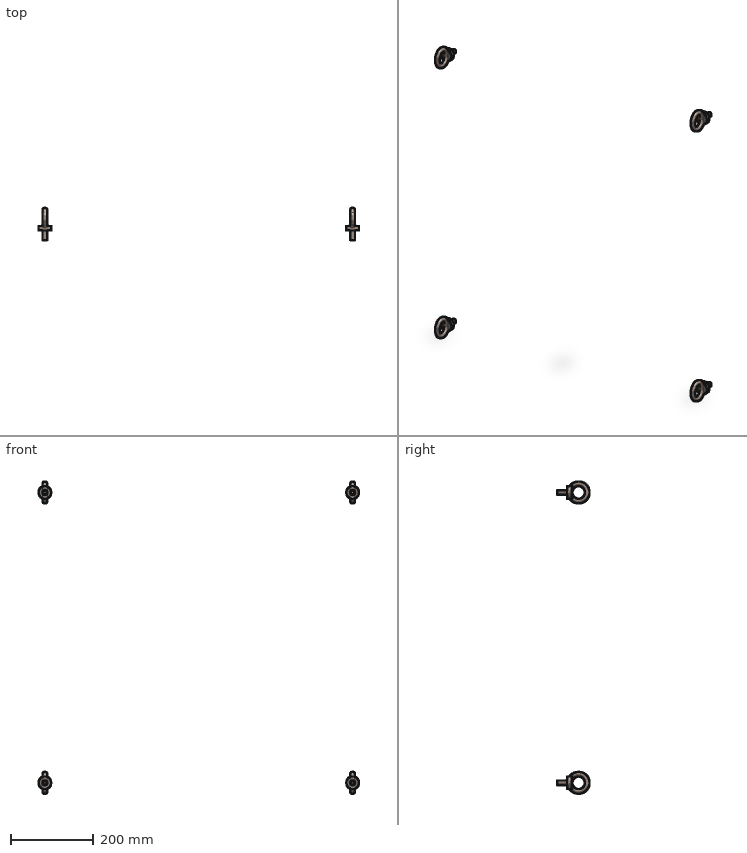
import cadquery as cq
import math

overall_x = 781.22
overall_y = 80.0
overall_z = 761.5

eye_outer_diameter = 54.0
eye_inner_diameter = 30.0
eye_section_radius = (eye_outer_diameter - eye_inner_diameter) / 4
eye_mean_radius = (eye_outer_diameter + eye_inner_diameter) / 4

spacing_x = 750.0
spacing_z = overall_z - eye_outer_diameter

eye_top_height = 55.0
eye_center_y = eye_top_height - eye_outer_diameter / 2
collar_diameter = overall_x - spacing_x
collar_height = 11.0
shank_diameter = 12.0
shank_length = overall_y - eye_top_height
shank_chamfer = 1.5

eye_fillet_radius = 2.0
shank_root_radius = 2.0


def make_eye():
    """Ring whose axis is parallel to X."""
    center = cq.Vector(0, eye_center_y, 0)
    axis = cq.Vector(1, 0, 0)
    return cq.Workplane(cq.Solid.makeTorus(eye_mean_radius, eye_section_radius, center, axis))


def make_stem():
    """Collar and chamfered shank, with a rounded root between them, turned around the Y axis."""
    collar_radius = collar_diameter / 2
    shank_radius = shank_diameter / 2
    root_arc_inset = shank_root_radius * (1 - math.sqrt(0.5))
    return (
        cq.Workplane("YZ")
        .moveTo(collar_height, 0)
        .lineTo(collar_height, collar_radius)
        .lineTo(0, collar_radius)
        .lineTo(0, shank_radius + shank_root_radius)
        .threePointArc(
            (-root_arc_inset, shank_radius + root_arc_inset),
            (-shank_root_radius, shank_radius),
        )
        .lineTo(shank_chamfer - shank_length, shank_radius)
        .lineTo(-shank_length, shank_radius - shank_chamfer)
        .lineTo(-shank_length, 0)
        .close()
        .revolve(360, (0, 0), (1, 0))
    )


def make_eye_bolt():
    """Eye and stem joined, with a fillet along the curved line where the ring enters the collar."""
    return make_eye().union(make_stem()).edges("%BSPLINE").fillet(eye_fillet_radius)


eye_bolt = make_eye_bolt()
eye_bolts = []
for side_x in (-1, 1):
    for side_z in (-1, 1):
        position = (side_x * spacing_x / 2, 0, side_z * spacing_z / 2)
        eye_bolts.append(eye_bolt.translate(position).val())

result = cq.Compound.makeCompound(eye_bolts)